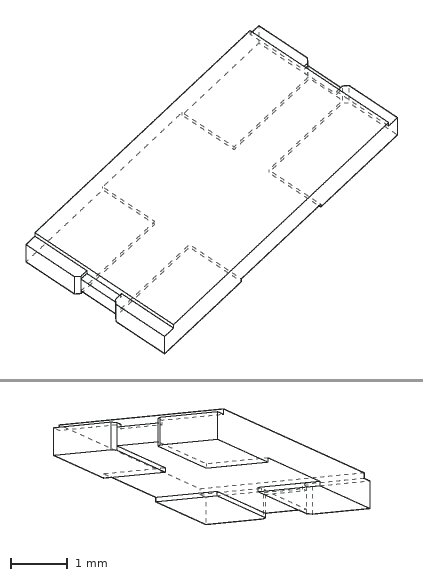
import cadquery as cq

WIDTH = 3.2
LENGTH = 6.4
HEIGHT = 0.6

PLATING = 0.08
TERMINAL_HEIGHT = 0.5
TERMINAL_GAP = 0.8
PAD_LENGTH = 2.11

COVER_INSET = 0.245

SUBSTRATE_LENGTH = LENGTH - 2 * PLATING
SUBSTRATE_TOP = TERMINAL_HEIGHT - PLATING
COVER_LENGTH = LENGTH - 2 * COVER_INSET


def layer(length, bottom, top):
    """Full-width slab between two heights, centred in X and Y."""
    slab = cq.Workplane("XY").box(WIDTH, length, top - bottom, centered=(True, True, False))
    return slab.translate((0, 0, bottom))


def terminal():
    """C-shaped terminal at the +X, -Y corner with its inner end corner chamfered."""
    end = -LENGTH / 2
    face = end + PLATING
    inner = TERMINAL_GAP / 2
    profile = [
        (end, 0),
        (end + PAD_LENGTH, 0),
        (end + PAD_LENGTH, PLATING),
        (face, PLATING),
        (face, SUBSTRATE_TOP),
        (end + COVER_INSET, SUBSTRATE_TOP),
        (end + COVER_INSET, TERMINAL_HEIGHT),
        (end, TERMINAL_HEIGHT),
    ]
    body = (
        cq.Workplane("YZ", origin=(inner, 0, 0))
        .polyline(profile)
        .close()
        .extrude(WIDTH / 2 - inner)
    )
    corner = (
        cq.Workplane("XY")
        .polyline([(inner, end), (inner + PLATING, end), (inner, face)])
        .close()
        .extrude(TERMINAL_HEIGHT)
    )
    return body.cut(corner)


substrate = layer(SUBSTRATE_LENGTH, PLATING, SUBSTRATE_TOP)
cover = layer(COVER_LENGTH, SUBSTRATE_TOP, HEIGHT)

right_terminal = terminal()
front_terminals = [right_terminal, right_terminal.mirror("YZ")]

result = substrate.union(cover)
for front_terminal in front_terminals:
    result = result.union(front_terminal).union(front_terminal.mirror("XZ"))